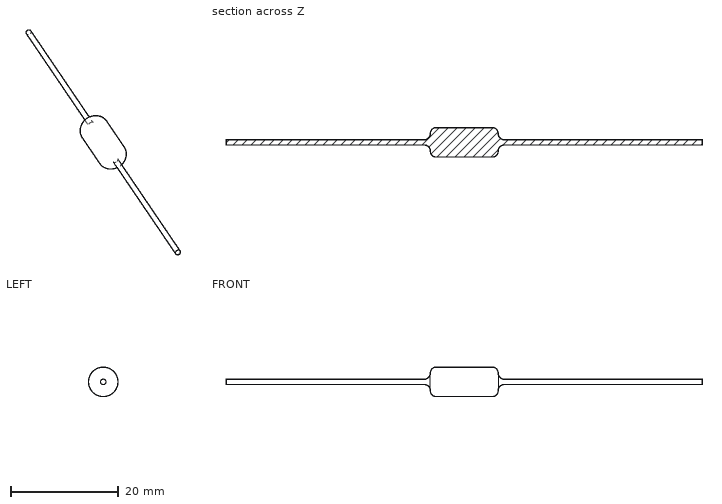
import cadquery as cq
import math

overall_length = 88.9
body_diameter = 5.54
body_length = 12.7
wire_diameter = 1.02
edge_radius = 1.1
blend_radius = 1.1

half_length = overall_length / 2
body_half_length = body_length / 2
body_radius = body_diameter / 2
wire_radius = wire_diameter / 2

wire_end = (half_length, wire_radius)
blend_tip = (body_half_length + blend_radius, wire_radius)
blend_base = (body_half_length, wire_radius + blend_radius)
edge_inner = (body_half_length, body_radius - edge_radius)
edge_outer = (body_half_length - edge_radius, body_radius)

arc_offset = 1 - math.sqrt(0.5)
blend_offset = arc_offset * blend_radius
edge_offset = arc_offset * edge_radius
blend_middle = (body_half_length + blend_offset, wire_radius + blend_offset)
edge_middle = (body_half_length - edge_offset, body_radius - edge_offset)


def mirrored(point):
    """The matching section point on the -X half."""
    x, radius = point
    return (-x, radius)


def make_section():
    """Half section above the X axis, traced from the -X wire end to the +X wire end."""
    return (
        cq.Workplane("XZ")
        .moveTo(-half_length, 0)
        .lineTo(*mirrored(wire_end))
        .lineTo(*mirrored(blend_tip))
        .threePointArc(mirrored(blend_middle), mirrored(blend_base))
        .lineTo(*mirrored(edge_inner))
        .threePointArc(mirrored(edge_middle), mirrored(edge_outer))
        .lineTo(*edge_outer)
        .threePointArc(edge_middle, edge_inner)
        .lineTo(*blend_base)
        .threePointArc(blend_middle, blend_tip)
        .lineTo(*wire_end)
        .lineTo(half_length, 0)
        .close()
    )


result = make_section().revolve(360, (0, 0, 0), (1, 0, 0))